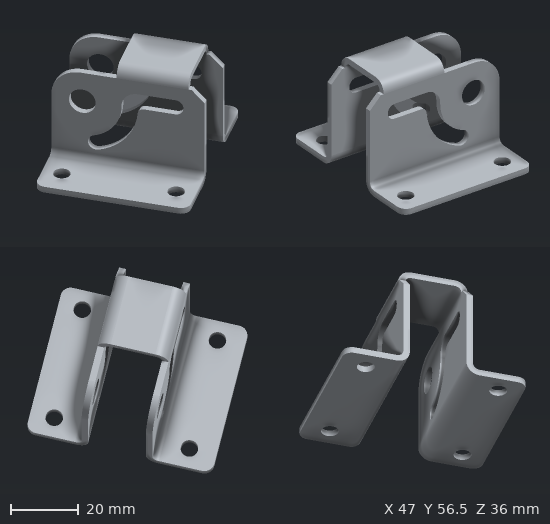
import cadquery as cq
import math

thickness = 2.0
bend_inner_radius = 2.0
bend_outer_radius = bend_inner_radius + thickness

length = 47.0
height = 36.0
channel_width = 21.5
front_flange_reach = 18.0
rear_flange_reach = 17.0
half_channel = channel_width / 2
front_edge_y = -half_channel - front_flange_reach
rear_edge_y = half_channel + rear_flange_reach

wall_top_z = height - bend_outer_radius
wall_corner_radius = 9.0
wall_chamfer = 4.0

bridge_start_x = 20.0
bridge_width = 22.0

flange_corner_radius = 3.0
mount_hole_diameter = 5.2
mount_hole_edge_x = 6.0
mount_hole_spacing_y = 41.0

pivot_x = 9.5
pivot_z = 22.0
pivot_diameter = 8.2
slot_width = 5.0
slot_radius = 14.5
slot_end_angle = -73.0
slot_straight_z = 25.0
slot_straight_end_x = 38.0
slot_outer_corner_radius = 5.0
slot_inner_corner_radius = 2.0


def bent_strip():
    """Full-length hat section: flange, wall, bridge, wall, flange."""

    def hat_block(half_width, top_z, top_radius, flange_z, foot_radius):
        """Block below one skin of the sheet, closed off one thickness under its flange level."""
        foot_z = flange_z + foot_radius
        foot_y = half_width + foot_radius
        shoulder_z = top_z - top_radius
        diagonal = math.sqrt(0.5)
        foot_offset = foot_radius * (1 - diagonal)
        top_offset = top_radius * (1 - diagonal)
        return (
            cq.Workplane("YZ")
            .moveTo(front_edge_y, flange_z - thickness)
            .lineTo(front_edge_y, flange_z)
            .lineTo(-foot_y, flange_z)
            .threePointArc((-half_width - foot_offset, flange_z + foot_offset), (-half_width, foot_z))
            .lineTo(-half_width, shoulder_z)
            .threePointArc((-half_width + top_offset, top_z - top_offset), (-half_width + top_radius, top_z))
            .lineTo(half_width - top_radius, top_z)
            .threePointArc((half_width - top_offset, top_z - top_offset), (half_width, shoulder_z))
            .lineTo(half_width, foot_z)
            .threePointArc((half_width + foot_offset, flange_z + foot_offset), (foot_y, flange_z))
            .lineTo(rear_edge_y, flange_z)
            .lineTo(rear_edge_y, flange_z - thickness)
            .close()
            .extrude(length)
        )

    outer_block = hat_block(half_channel, height, bend_outer_radius, thickness, bend_inner_radius)
    inner_block = hat_block(
        half_channel - thickness, height - thickness, bend_inner_radius, 0, bend_outer_radius
    )
    return outer_block.cut(inner_block)


def across_y(sketch):
    """Extrude an XZ sketch through the whole width of the bracket."""
    return sketch.extrude(max(-front_edge_y, rear_edge_y), both=True)


def side_profile():
    """Wall silhouette with the bridge tab standing on it."""
    wall = (
        cq.Workplane("XZ")
        .moveTo(0, 0)
        .lineTo(0, wall_top_z - wall_corner_radius)
        .radiusArc((wall_corner_radius, wall_top_z), wall_corner_radius)
        .lineTo(length - wall_chamfer, wall_top_z)
        .lineTo(length, wall_top_z - wall_chamfer)
        .lineTo(length, 0)
        .close()
    )
    tab = (
        cq.Workplane("XZ")
        .moveTo(bridge_start_x, 0)
        .lineTo(bridge_start_x, height)
        .lineTo(bridge_start_x + bridge_width, height)
        .lineTo(bridge_start_x + bridge_width, 0)
        .close()
    )
    return across_y(wall).union(across_y(tab))


def flange_blank():
    """Plan outline of the bracket with rounded flange corners."""
    return (
        cq.Workplane("XY")
        .moveTo(length / 2, (front_edge_y + rear_edge_y) / 2)
        .rect(length, rear_edge_y - front_edge_y)
        .extrude(height)
        .edges("|Z")
        .fillet(flange_corner_radius)
    )


def mount_holes():
    hole_points = [
        (x, y)
        for x in (mount_hole_edge_x, length - mount_hole_edge_x)
        for y in (-mount_hole_spacing_y / 2, mount_hole_spacing_y / 2)
    ]
    return cq.Workplane("XY").pushPoints(hole_points).circle(mount_hole_diameter / 2).extrude(thickness)


def pivot_hole():
    return across_y(cq.Workplane("XZ").center(pivot_x, pivot_z).circle(pivot_diameter / 2))


def around_pivot(radius, angle):
    """Point at a radius and an angle in degrees from the pivot."""
    turn = math.radians(angle)
    return (pivot_x + radius * math.cos(turn), pivot_z + radius * math.sin(turn))


def guide_slot():
    """Arc about the pivot, running through rounded corners into a straight horizontal leg."""
    half_slot = slot_width / 2
    near_radius = slot_radius - half_slot
    far_radius = slot_radius + half_slot
    top_z = slot_straight_z + half_slot
    bottom_z = slot_straight_z - half_slot

    near_x = pivot_x + near_radius
    outer_corner_start = (near_x, top_z - slot_outer_corner_radius)
    outer_corner_end = (near_x + slot_outer_corner_radius, top_z)

    inner_centre_radius = far_radius + slot_inner_corner_radius
    inner_centre_z = bottom_z - slot_inner_corner_radius
    inner_angle = math.degrees(math.asin((inner_centre_z - pivot_z) / inner_centre_radius))
    inner_centre_x = around_pivot(inner_centre_radius, inner_angle)[0]

    return across_y(
        cq.Workplane("XZ")
        .moveTo(*around_pivot(near_radius, slot_end_angle))
        .threePointArc(around_pivot(near_radius, slot_end_angle / 2), (near_x, pivot_z))
        .lineTo(*outer_corner_start)
        .radiusArc(outer_corner_end, slot_outer_corner_radius)
        .lineTo(slot_straight_end_x, top_z)
        .threePointArc((slot_straight_end_x + half_slot, slot_straight_z), (slot_straight_end_x, bottom_z))
        .lineTo(inner_centre_x, bottom_z)
        .radiusArc(around_pivot(far_radius, inner_angle), -slot_inner_corner_radius)
        .threePointArc(
            around_pivot(far_radius, (inner_angle + slot_end_angle) / 2),
            around_pivot(far_radius, slot_end_angle),
        )
        .tangentArcPoint(around_pivot(near_radius, slot_end_angle), relative=False)
        .close()
    )


result = (
    bent_strip()
    .intersect(side_profile())
    .intersect(flange_blank())
    .cut(mount_holes())
    .cut(pivot_hole())
    .cut(guide_slot())
)